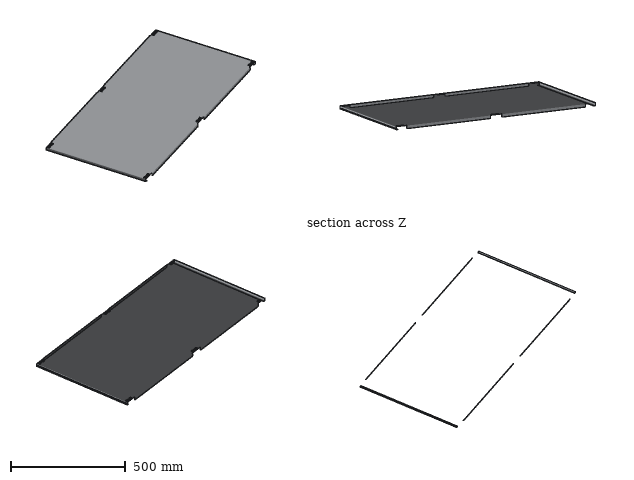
import cadquery as cq

length = 1000.0
width = 499.0
height = 15.0

sheet = 1.5
bend_outer = 3.5
bend_inner = bend_outer - sheet

plate_width = width - 2 * bend_outer

end_lip = 10.0

side_flange_inner_end = 28.0
side_flange_outer_end = 448.0
side_flange_chamfer = 3.0

hole_side_margin = 8.5
group_end_margin = 24.0
hole_x = plate_width / 2 - hole_side_margin
square_hole_size = 9.5
square_hole_spacing = 25.0
round_hole_diameter = 6.0
end_group_y = length / 2 - group_end_margin
group_positions = (-end_group_y, 0, end_group_y)


def make_plate():
    """Flat sheet between the bends of the two ends."""
    plate = cq.Workplane("XY", origin=(0, 0, height - sheet))
    return plate.rect(plate_width, length - 2 * bend_outer).extrude(sheet)


def make_end_flange():
    """Flange at the +Y end: bend down, wall, bend inward and lip."""
    outer = length / 2
    bend_start = outer - bend_outer
    wall_top = height - bend_outer
    section = (
        cq.Workplane("YZ")
        .moveTo(bend_start, height)
        .radiusArc((outer, wall_top), bend_outer)
        .lineTo(outer, bend_outer)
        .radiusArc((bend_start, 0), bend_outer)
        .lineTo(outer - end_lip, 0)
        .lineTo(outer - end_lip, sheet)
        .lineTo(bend_start, sheet)
        .radiusArc((outer - sheet, bend_outer), -bend_inner)
        .lineTo(outer - sheet, wall_top)
        .radiusArc((bend_start, height - sheet), -bend_inner)
        .close()
    )
    return section.extrude(plate_width / 2, both=True)


def make_side_flange():
    """Flange on the +X, +Y edge: bend down and wall with its two foot corners cut off."""
    outer = width / 2
    bend_start = outer - bend_outer
    wall_top = height - bend_outer
    flange_length = side_flange_outer_end - side_flange_inner_end
    section = (
        cq.Workplane("XZ", origin=(0, side_flange_outer_end, 0))
        .moveTo(bend_start, height)
        .radiusArc((outer, wall_top), bend_outer)
        .lineTo(outer, 0)
        .lineTo(outer - sheet, 0)
        .lineTo(outer - sheet, wall_top)
        .radiusArc((bend_start, height - sheet), -bend_inner)
        .close()
    )
    flange = section.extrude(flange_length)
    foot_corners = flange.faces("<Z").edges("|X")
    return foot_corners.chamfer(side_flange_chamfer)


def hole_centers(y_positions):
    """Hole centers at the given Y positions along both long edges, on the plate's underside."""
    centers = [(x, y) for x in (-hole_x, hole_x) for y in y_positions]
    return cq.Workplane("XY", origin=(0, 0, height - sheet)).pushPoints(centers)


end_flange = make_end_flange()
result = make_plate().union(end_flange).union(end_flange.mirror("XZ"))

side_flange = make_side_flange()
side_flange_pair = side_flange.union(side_flange.mirror("XZ"))
result = result.union(side_flange_pair).union(side_flange_pair.mirror("YZ"))

half_spacing = square_hole_spacing / 2
square_positions = [y + offset for y in group_positions for offset in (-half_spacing, half_spacing)]
result = result.cut(hole_centers(group_positions).circle(round_hole_diameter / 2).extrude(sheet))
result = result.cut(hole_centers(square_positions).rect(square_hole_size, square_hole_size).extrude(sheet))